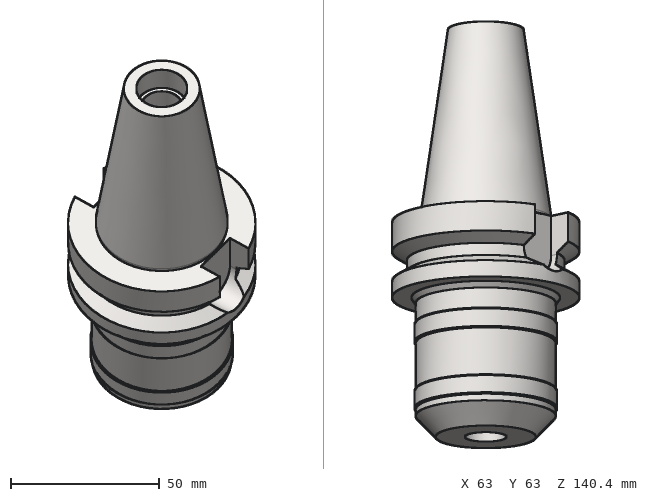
import cadquery as cq

total_height = 140.4
taper_top_radius = 12.8
gauge_radius = 22.2
gauge_height = 75.1

flange_radius = 31.52
flange_top = 74.0
groove_radius = 26.5
groove_top = 63.9
groove_floor_top = 60.8
groove_floor_bottom = 56.6
groove_bottom = 53.6
flange_bottom = 48.0

nose_radius = 23.6
flare_radius = 25.0
flare_bottom = 46.0
nose_end_radius = 16.8
nose_chamfer_top = 7.2

bands = [(9.4, 16.1), (32.3, 39.2)]
band_radius = 24.0
band_chamfer = band_radius - nose_radius

bore_radius = 7.0
counterbore_radius = 8.5
counterbore_depth = 9.0

slot_width = 16.1
slot_floor_x = 22.6
slot_bottom = 52.2


def revolve_profile(points):
    """Revolve a closed (radius, height) profile about Z."""
    return cq.Workplane("XZ").polyline(points).close().revolve(360, (0, 0), (0, 1))


def make_body():
    return revolve_profile([
        (0, 0),
        (nose_end_radius, 0),
        (nose_radius, nose_chamfer_top),
        (nose_radius, flare_bottom),
        (flare_radius, flange_bottom),
        (flange_radius, flange_bottom),
        (flange_radius, groove_bottom),
        (groove_radius, groove_floor_bottom),
        (groove_radius, groove_floor_top),
        (flange_radius, groove_top),
        (flange_radius, flange_top),
        (gauge_radius, flange_top),
        (gauge_radius, gauge_height),
        (taper_top_radius, total_height),
        (0, total_height),
    ])


def make_band(bottom, top):
    """Full disc whose rim stands proud of the nose, with chamfered edges."""
    return revolve_profile([
        (0, bottom),
        (nose_radius, bottom),
        (band_radius, bottom + band_chamfer),
        (band_radius, top - band_chamfer),
        (nose_radius, top),
        (0, top),
    ])


def make_drive_slot(side):
    """Round-bottomed slot cutter; side is -1 or +1 along X."""
    round_center = slot_bottom + slot_width / 2
    return (
        cq.Workplane("YZ", origin=(side * slot_floor_x, 0, 0))
        .moveTo(-slot_width / 2, flange_top)
        .lineTo(-slot_width / 2, round_center)
        .threePointArc((0, slot_bottom), (slot_width / 2, round_center))
        .lineTo(slot_width / 2, flange_top)
        .close()
        .extrude(side * flange_radius)
    )


def make_bore():
    counterbore_floor = total_height - counterbore_depth
    through_bore = cq.Workplane("XY").circle(bore_radius).extrude(total_height)
    counterbore = (
        cq.Workplane("XY", origin=(0, 0, counterbore_floor))
        .circle(counterbore_radius)
        .extrude(counterbore_depth)
    )
    return through_bore.union(counterbore)


result = make_body()
for band_bottom, band_top in bands:
    result = result.union(make_band(band_bottom, band_top))
for slot_side in (-1, 1):
    result = result.cut(make_drive_slot(slot_side))
result = result.cut(make_bore())